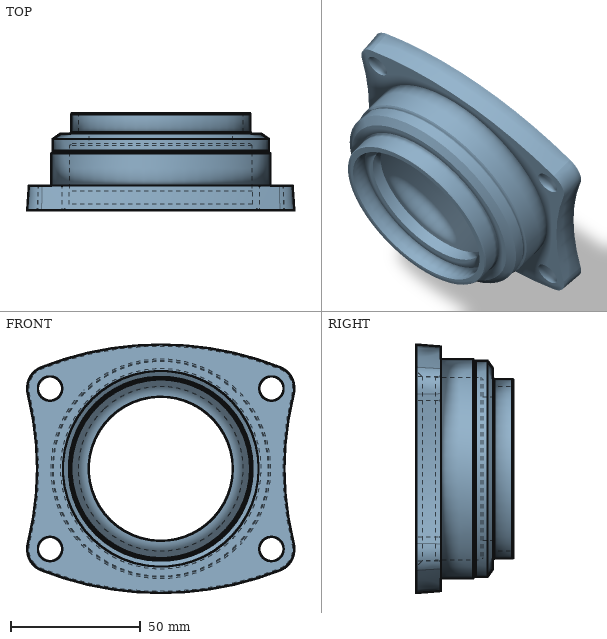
import cadquery as cq
import math

flange_thickness = 9.5
flange_draft = 4.0
half_width = 51.6
half_height = 48.0
half_waist = 47.8
corner_radius = 8.9
hole_x = half_width - corner_radius
hole_z = 31.0
hole_diameter = 9.3

total_depth = 37.5
body_radius = 42.5
body_end = 21.9
seat_radius = 41.8
seat_groove_radius = 41.5
seat_start = 23.1
seat_end = 27.5
shoulder_radius = 38.7
shoulder_y = 29.6
boss_radius = 34.7
boss_root = 0.5
boss_edge = 0.5
boss_edge_width = 0.3

mouth_radius = 37.8
mouth_depth = 2.4
relief_radius = 35.5
relief_depth = 7.4
bore_radius = 35.2
bore_depth = 25.7
bore_corner = 0.7
through_radius = 27.8
rear_bore_radius = 31.8
rear_bore_start = 30.4


def on_corner(center_x, center_z, direction):
    """Point where a side arc centred at (center_x, center_z) touches the corner lobe.

    The direction is 1 for an arc that encloses the lobe and -1 for one outside it.
    """
    dx = hole_x - center_x
    dz = hole_z - center_z
    reach = direction * corner_radius / math.hypot(dx, dz)
    return hole_x + reach * dx, hole_z + reach * dz


def make_flange():
    waist_inset = half_waist - hole_x
    waist_span = waist_inset**2 + hole_z**2 - corner_radius**2
    waist_arc_radius = waist_span / (2 * (corner_radius - waist_inset))
    crown_rise = half_height - hole_z
    crown_span = hole_x**2 + crown_rise**2 - corner_radius**2
    crown_arc_radius = crown_span / (2 * (crown_rise - corner_radius))

    side_x, side_z = on_corner(half_waist + waist_arc_radius, 0, -1)
    top_x, top_z = on_corner(0, half_height - crown_arc_radius, 1)
    side_angle = math.atan2(side_z - hole_z, side_x - hole_x)
    top_angle = math.atan2(top_z - hole_z, top_x - hole_x)
    angle = (side_angle + top_angle) / 2
    tip_x = hole_x + corner_radius * math.cos(angle)
    tip_z = hole_z + corner_radius * math.sin(angle)

    outline = (
        cq.Workplane("XZ").transformed(rotate=(180, 0, 0))
        .moveTo(side_x, -side_z)
        .threePointArc((half_waist, 0), (side_x, side_z))
        .threePointArc((tip_x, tip_z), (top_x, top_z))
        .threePointArc((0, half_height), (-top_x, top_z))
        .threePointArc((-tip_x, tip_z), (-side_x, side_z))
        .threePointArc((-half_waist, 0), (-side_x, -side_z))
        .threePointArc((-tip_x, -tip_z), (-top_x, -top_z))
        .threePointArc((0, -half_height), (top_x, -top_z))
        .threePointArc((tip_x, -tip_z), (side_x, -side_z))
        .close()
    )
    return outline.extrude(flange_thickness, taper=flange_draft)


def revolve_profile(points):
    """Turn a (radius, depth) profile about the Y axis."""
    return cq.Workplane("XY").polyline(points).close().revolve(360, (0, 0, 0), (0, 1, 0))


def make_hub():
    return revolve_profile([
        (0, 0),
        (body_radius, 0),
        (body_radius, body_end),
        (seat_groove_radius, (body_end + seat_start) / 2),
        (seat_radius, seat_start),
        (seat_radius, seat_end),
        (shoulder_radius, shoulder_y),
        (boss_radius + boss_edge_width, shoulder_y),
        (boss_radius, shoulder_y + boss_root),
        (boss_radius, total_depth - boss_edge),
        (boss_radius - boss_edge_width, total_depth),
        (0, total_depth),
    ])


def make_bore():
    return revolve_profile([
        (0, 0),
        (mouth_radius, 0),
        (relief_radius, mouth_depth),
        (relief_radius, relief_depth),
        (bore_radius, relief_depth),
        (bore_radius, bore_depth - bore_corner),
        (bore_radius - bore_corner, bore_depth),
        (through_radius, bore_depth),
        (through_radius, rear_bore_start),
        (rear_bore_radius, rear_bore_start),
        (rear_bore_radius, total_depth),
        (0, total_depth),
    ])


def make_bolt_holes():
    centers = [(x, z) for x in (-hole_x, hole_x) for z in (-hole_z, hole_z)]
    return cq.Workplane("XZ").pushPoints(centers).circle(hole_diameter / 2).extrude(-flange_thickness)


result = make_flange().union(make_hub()).cut(make_bore()).cut(make_bolt_holes())